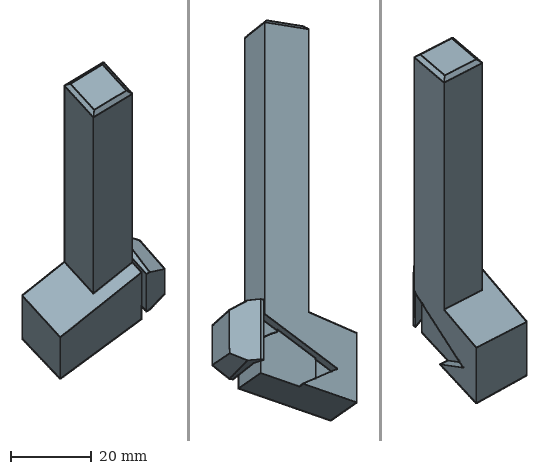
import cadquery as cq
import math

total_height = 98.0
shank_size = 12.1
shank_chamfer = 1.1
head_width = 15.9
head_depth = 25.1
head_front_height = 18.4
head_back_height = 25.2
bottom_rise_back = 4.6
bottom_rise_side = 0.7
shank_front = head_depth - shank_size

pocket_depth = 2.4
pocket_apex_y = 5.3
pocket_apex_z = 8.1
pocket_half_angle = math.radians(30)
relief_extra_depth = 0.5
tip_relief_y = 10.2
back_relief_y = 20.6
back_relief_z = 16.4
back_relief_mid_y = 22.8
back_relief_mid_z = 15.3
back_relief_end_z = 13.7

cutter_bottom = 7.5
cutter_top = 23.5
cutter_back = 32.1
cutter_right = 16.1
cutter_left = 0.4
nose_back = 26.0
underside_y = 26.5
underside_x = 3.5
flank_end_x = 5.6
bevel_left_y = 28.6
bevel_right_y = 27.4
bevel_drop_top = 2.1
bevel_drop_bottom = 2.4
facet_front_z = 7.9
facet_back_z = 11.8
facet_overhang = 0.2

cutter_block_size = 117.6


def flank_x(y):
    """X of the slanted cutter flank at the given Y."""
    slope = (flank_end_x - cutter_left) / (cutter_back - nose_back)
    return cutter_left + slope * (y - nose_back)


def half_space(first, second, third, outward):
    """Large block on the outward side of the plane through three points."""
    origin = cq.Vector(*first)
    x_dir = cq.Vector(*second) - origin
    normal = x_dir.cross(cq.Vector(*third) - origin)
    if normal.dot(cq.Vector(*outward)) < 0:
        normal = normal * -1
    plane = cq.Plane(origin=origin, xDir=x_dir, normal=normal)
    return cq.Workplane(plane).rect(cutter_block_size, cutter_block_size).extrude(cutter_block_size)


def pocket_wall_z(y, side):
    """Height of the upper (side=1) or lower (side=-1) pocket wall."""
    return pocket_apex_z + side * (y - pocket_apex_y) * math.tan(pocket_half_angle)


def make_blank():
    head = (
        cq.Workplane("YZ")
        .polyline([
            (0, 0),
            (head_depth, 0),
            (head_depth, head_back_height),
            (0, head_front_height),
        ])
        .close()
        .extrude(head_width)
    )
    shank = (
        cq.Workplane("XY")
        .box(shank_size, shank_size, total_height, centered=False)
        .translate((0, shank_front, 0))
        .faces(">Z")
        .chamfer(shank_chamfer)
    )
    bottom = half_space(
        (0, 0, 0), (head_width, 0, bottom_rise_side), (0, head_depth, bottom_rise_back), (0, 0, -1)
    )
    return head.union(shank).cut(bottom)


def make_pocket():
    floor = (
        cq.Workplane("YZ")
        .polyline([
            (pocket_apex_y, pocket_apex_z),
            (head_depth, pocket_wall_z(head_depth, 1)),
            (head_depth, pocket_wall_z(head_depth, -1)),
        ])
        .close()
        .extrude(pocket_depth)
    )
    relief_depth = pocket_depth + relief_extra_depth
    tip_relief = (
        cq.Workplane("YZ")
        .polyline([
            (pocket_apex_y, pocket_apex_z),
            (tip_relief_y, pocket_wall_z(tip_relief_y, 1)),
            (tip_relief_y, pocket_wall_z(tip_relief_y, -1)),
        ])
        .close()
        .extrude(relief_depth)
    )
    back_relief = (
        cq.Workplane("YZ")
        .moveTo(head_depth, pocket_wall_z(head_depth, 1))
        .lineTo(back_relief_y, pocket_wall_z(back_relief_y, 1))
        .lineTo(back_relief_y, back_relief_z)
        .threePointArc((back_relief_mid_y, back_relief_mid_z), (head_depth, back_relief_end_z))
        .close()
        .extrude(relief_depth)
    )
    return floor.union(tip_relief).union(back_relief)


def end_bevel(z, drop, direction):
    """Block that bevels the upper (1) or lower (-1) back edge of the cutter."""
    return half_space(
        (flank_x(bevel_left_y), bevel_left_y, z),
        (cutter_right, bevel_right_y, z),
        (flank_end_x, cutter_back, z - direction * drop),
        (0, 0, direction),
    )


def make_cutter():
    body = (
        cq.Workplane("XY")
        .workplane(offset=cutter_bottom)
        .polyline([
            (cutter_left, head_depth),
            (underside_x, underside_y),
            (cutter_right, underside_y),
            (cutter_right, cutter_back),
            (cutter_left, cutter_back),
        ])
        .close()
        .extrude(cutter_top - cutter_bottom)
    )
    facet_start = (cutter_left, nose_back, facet_front_z)
    facet_end = (flank_end_x, cutter_back, facet_back_z)
    outside_flank = half_space(facet_start, facet_end, (cutter_left, nose_back, cutter_top), (-1, 1, 0))
    outside_facet = half_space(
        facet_start,
        facet_end,
        (flank_end_x - facet_overhang, cutter_back, cutter_bottom + bevel_drop_bottom),
        (-1, 1, 0),
    )
    return (
        body.cut(end_bevel(cutter_top, bevel_drop_top, 1))
        .cut(end_bevel(cutter_bottom, bevel_drop_bottom, -1))
        .cut(outside_flank.intersect(outside_facet))
    )


holder = make_blank().cut(make_pocket())
cutter = make_cutter()
result = cq.Compound.makeCompound([holder.val(), cutter.val()])